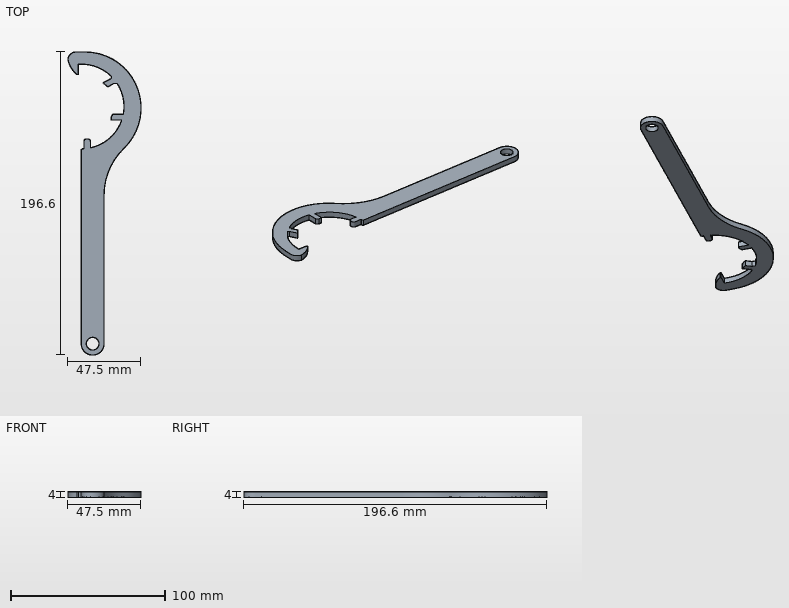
import cadquery as cq
import math

length = 196.6
thickness = 4.0
handle_width = 15.0
hole_diameter = 8.0
half_width = handle_width / 2
top_y = length - half_width

outer_radius = 36.4
outer_x = -5.0
outer_y = top_y - outer_radius
inner_radius = 27.3
inner_x = -7.0
inner_y = 153.7
neck_radius = 42.0

nose_top_x = -11.0
nose_left = (-16.1, 184.2)
nose_bulge = (-14.5, 187.5)
belly_bulge = (-14.0, 178.7)
tip_y = 174.4
tip_width = 1.0
hook_face_x = -9.2

shoulder_y = 125.8
shoulder_chamfer = 1.0
pin_left = -5.7
pin_width = 4.3
pin_top = 132.7
pin_corner_radius = 1.5

straight_tooth = [(21.2, 148.8), (13.2, 148.8), (12.0, 147.0), (12.0, 144.9), (21.2, 144.9)]
slanted_tooth = [(12.4, 173.4), (11.8, 171.8), (6.7, 169.0), (9.8, 166.3), (13.5, 168.5), (16.5, 168.5), (17.7, 173.4)]


def circle_point(x, y, radius, angle):
    return x + radius * math.cos(angle), y + radius * math.sin(angle)


def inner_angle_at_x(x):
    """Angle on the upper half of the inner circle at a given X."""
    return math.acos((x - inner_x) / inner_radius)


def make_body():
    neck_x = half_width + neck_radius
    neck_dx = neck_x - outer_x
    neck_y = outer_y - math.sqrt((outer_radius + neck_radius) ** 2 - neck_dx ** 2)
    join_angle = math.atan2(neck_y - outer_y, neck_dx)
    join = circle_point(outer_x, outer_y, outer_radius, join_angle)
    neck_mid = circle_point(neck_x, neck_y, neck_radius, math.pi + join_angle / 2)

    hook_root = circle_point(inner_x, inner_y, inner_radius, inner_angle_at_x(hook_face_x))
    shoulder_x = -half_width + shoulder_chamfer
    shoulder_top_angle = -inner_angle_at_x(shoulder_x)
    shoulder_top = circle_point(inner_x, inner_y, inner_radius, shoulder_top_angle)

    return (
        cq.Workplane("XY")
        .moveTo(-half_width, 0)
        .threePointArc((0, -half_width), (half_width, 0))
        .lineTo(half_width, neck_y)
        .threePointArc(neck_mid, join)
        .threePointArc((outer_x + outer_radius, outer_y), (outer_x, top_y))
        .lineTo(nose_top_x, top_y)
        .threePointArc(nose_bulge, nose_left)
        .threePointArc(belly_bulge, (hook_face_x - tip_width, tip_y))
        .lineTo(hook_face_x, tip_y)
        .lineTo(*hook_root)
        .threePointArc((inner_x + inner_radius, inner_y), shoulder_top)
        .lineTo(-half_width, shoulder_y)
        .close()
        .extrude(thickness)
    )


def make_tooth(corners):
    return cq.Workplane("XY").polyline(corners).close().extrude(thickness)


def make_pin():
    pin_bottom = shoulder_y - pin_width
    return (
        cq.Workplane("XY")
        .moveTo(pin_left, pin_bottom)
        .rect(pin_width, pin_top - pin_bottom, centered=False)
        .extrude(thickness)
        .edges("|Z and >Y")
        .fillet(pin_corner_radius)
    )


def make_hanging_hole():
    return cq.Workplane("XY").circle(hole_diameter / 2).extrude(thickness)


result = make_body().union(make_pin())
for tooth_corners in (straight_tooth, slanted_tooth):
    result = result.union(make_tooth(tooth_corners))
result = result.cut(make_hanging_hole())